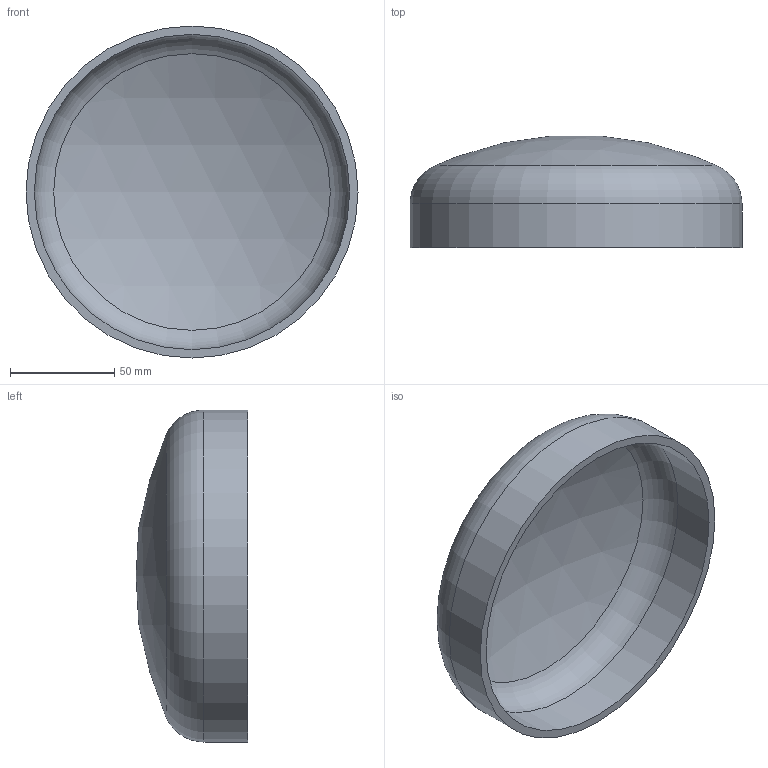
import cadquery as cq
import math

outer_diameter = 159.0
wall = 4.0
skirt_height = 21.0

crown_radius = outer_diameter
knuckle_radius = 0.1 * outer_diameter

outer_radius = outer_diameter / 2
inner_radius = outer_radius - wall

knuckle_centre_x = inner_radius - knuckle_radius
centre_distance = crown_radius - knuckle_radius
crown_angle = math.asin(knuckle_centre_x / centre_distance)
crown_centre_y = skirt_height - centre_distance * math.cos(crown_angle)


def knuckle_point(radius, angle):
    """Point on the knuckle arc at an angle from the Y axis."""
    return (knuckle_centre_x + radius * math.sin(angle), skirt_height + radius * math.cos(angle))


def skirt_and_knuckle(skirt_radius, knuckle):
    """Solid of revolution about Y, flat where the crown starts."""
    mid_angle = (crown_angle + math.pi / 2) / 2
    crown_edge = knuckle_point(knuckle, crown_angle)
    return (
        cq.Workplane("XY")
        .lineTo(skirt_radius, 0)
        .lineTo(skirt_radius, skirt_height)
        .threePointArc(knuckle_point(knuckle, mid_angle), crown_edge)
        .lineTo(0, crown_edge[1])
        .close()
        .revolve(360, (0, 0, 0), (0, 1, 0))
    )


def crown_segment(crown, base_y):
    """Spherical segment on the +Y side of the plane at base_y."""
    span = 2 * crown
    beyond_base = cq.Workplane("XY").box(span, span, span).translate((0, base_y + crown, 0))
    return cq.Workplane("XY").sphere(crown).translate((0, crown_centre_y, 0)).intersect(beyond_base)


def dished_body(skirt_radius, offset):
    """Full cap volume, its dished end offset outward from the inner surface."""
    knuckle = knuckle_radius + offset
    crown_base_y = knuckle_point(knuckle, crown_angle)[1]
    crown = crown_segment(crown_radius + offset, crown_base_y)
    return skirt_and_knuckle(skirt_radius, knuckle).union(crown, clean=False)


result = dished_body(outer_radius, wall).cut(dished_body(inner_radius, 0), clean=False)